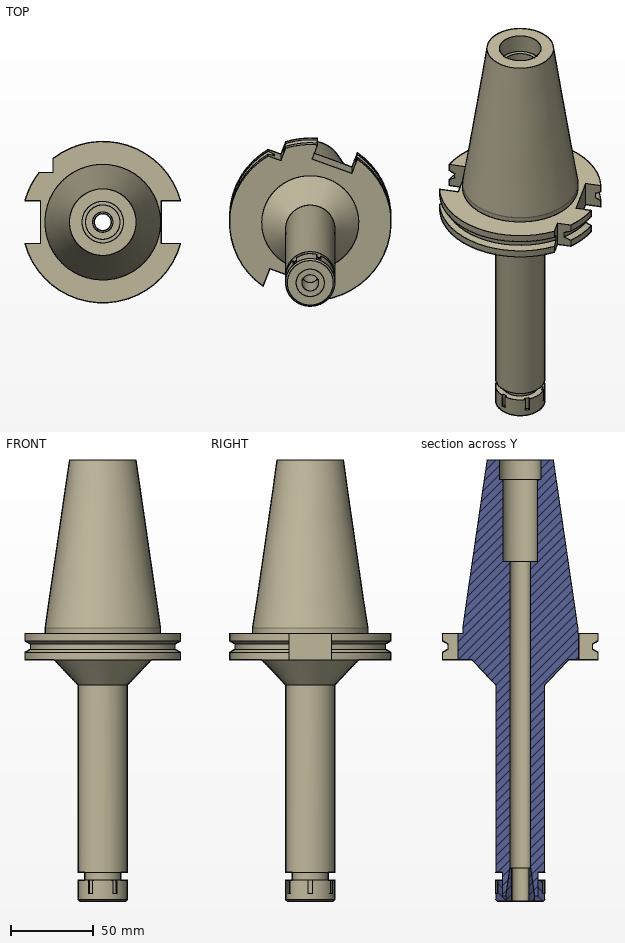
import cadquery as cq
import math

total_length = 266.8

gauge_radius = 35.0
taper_length = 101.5
taper_ratio = 7 / 24
shank_end_radius = gauge_radius - taper_length * taper_ratio / 2
gauge_z = total_length - taper_length

collar_height = 3.2
flange_radius = 48.8
flange_thickness = 16.0
flange_top_z = gauge_z - collar_height
flange_bottom_z = flange_top_z - flange_thickness
groove_middle_z = flange_top_z - 8.0
groove_depth = 3.2
groove_floor_width = 3.2
groove_flank_angle = 30.0
groove_flank_rise = groove_depth * math.tan(math.radians(groove_flank_angle))
groove_mouth_width = groove_floor_width + 2 * groove_flank_rise
groove_floor_radius = flange_radius - groove_depth

slot_width = 25.5
left_slot_distance = 37.5
right_slot_distance = 35.5
notch_distance = 30.1

cone_top_radius = 29.3
cone_height = 15.2
extension_radius = 15.0
cone_bottom_z = flange_bottom_z - cone_height
spigot_radius = 11.0
extension_bottom_z = 17.5

nut_radius = extension_radius
nut_height = 12.8
nut_chamfer = 1.0
nut_lip = 3.2
wrench_slot_count = 6
wrench_slot_width = 2.7
wrench_slot_depth = 1.3
wrench_slot_length = 8.0

counterbore_radius = 12.5
counterbore_depth = 11.7
thread_bore_radius = 10.5
thread_bore_depth = 61.4
through_bore_radius = 6.1

collet_radius = 8.5
collet_bore_radius = 5.0
collet_half_angle = 8.0
collet_taper_length = (collet_radius - through_bore_radius) / math.tan(math.radians(collet_half_angle))
collet_top_z = nut_lip + collet_taper_length


def revolve_profile(points):
    """Turn a closed (radius, z) outline about the Z axis."""
    return cq.Workplane("XZ").polyline(points).close().revolve(360, (0, 0), (0, 1))


def cylinder(radius, bottom_z, top_z):
    return cq.Workplane("XY", origin=(0, 0, bottom_z)).circle(radius).extrude(top_z - bottom_z)


def flange_cutter(x_min, x_max, y_min, y_max):
    """Block through the full flange thickness."""
    return (
        cq.Workplane("XY", origin=((x_min + x_max) / 2, (y_min + y_max) / 2, flange_bottom_z))
        .rect(x_max - x_min, y_max - y_min)
        .extrude(flange_thickness)
    )


def make_holder():
    body = revolve_profile([
        (0, nut_lip),
        (spigot_radius, nut_lip),
        (spigot_radius, extension_bottom_z),
        (extension_radius, extension_bottom_z),
        (extension_radius, cone_bottom_z),
        (cone_top_radius, flange_bottom_z),
        (flange_radius, flange_bottom_z),
        (flange_radius, groove_middle_z - groove_mouth_width / 2),
        (groove_floor_radius, groove_middle_z - groove_floor_width / 2),
        (groove_floor_radius, groove_middle_z + groove_floor_width / 2),
        (flange_radius, groove_middle_z + groove_mouth_width / 2),
        (flange_radius, flange_top_z),
        (gauge_radius, flange_top_z),
        (gauge_radius, gauge_z),
        (shank_end_radius, total_length),
        (0, total_length),
    ])

    half_slot = slot_width / 2
    body = body.cut(flange_cutter(-flange_radius, -left_slot_distance, -half_slot, half_slot))
    body = body.cut(flange_cutter(right_slot_distance, flange_radius, -half_slot, half_slot))
    body = body.cut(flange_cutter(-flange_radius, -notch_distance, notch_distance, flange_radius))

    bore = revolve_profile([
        (0, nut_lip),
        (collet_radius, nut_lip),
        (through_bore_radius, collet_top_z),
        (through_bore_radius, total_length - thread_bore_depth),
        (thread_bore_radius, total_length - thread_bore_depth),
        (thread_bore_radius, total_length - counterbore_depth),
        (counterbore_radius, total_length - counterbore_depth),
        (counterbore_radius, total_length),
        (0, total_length),
    ])
    return body.cut(bore)


def make_nut():
    nut = cylinder(nut_radius, 0, nut_height).faces("<Z").chamfer(nut_chamfer)
    nut = nut.cut(cylinder(collet_radius, 0, nut_lip))
    nut = nut.cut(cylinder(spigot_radius, nut_lip, nut_height))

    slot = (
        cq.Workplane("XY", origin=(nut_radius, 0, nut_height - wrench_slot_length))
        .rect(2 * wrench_slot_depth, wrench_slot_width)
        .extrude(wrench_slot_length)
    )
    for index in range(wrench_slot_count):
        angle = index * 360 / wrench_slot_count
        nut = nut.cut(slot.rotate((0, 0, 0), (0, 0, 1), angle))
    return nut


def make_collet():
    return revolve_profile([
        (collet_bore_radius, 0),
        (collet_radius, 0),
        (collet_radius, nut_lip),
        (through_bore_radius, collet_top_z),
        (collet_bore_radius, collet_top_z),
    ])


holder = make_holder()
nut = make_nut()
collet = make_collet()

result = cq.Compound.makeCompound([holder.val(), nut.val(), collet.val()])